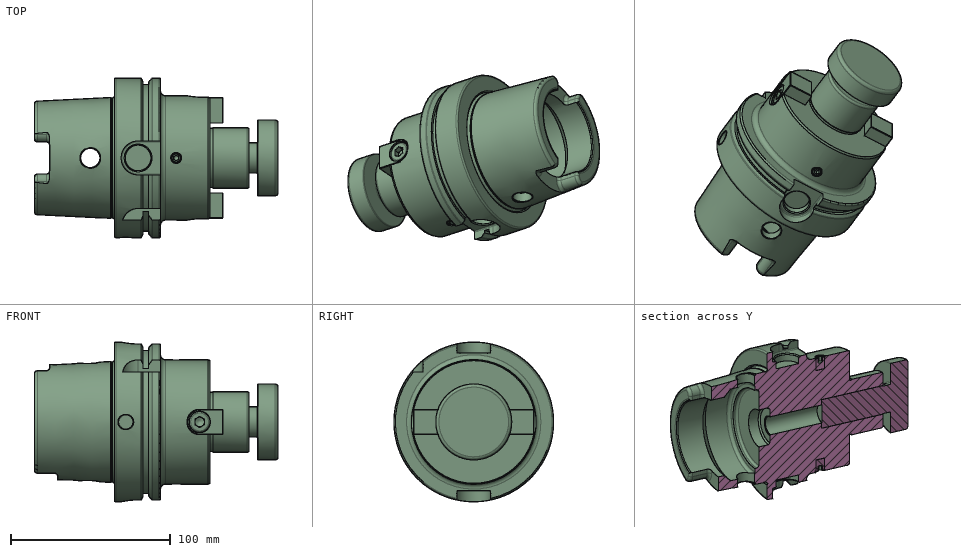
import cadquery as cq
import math

SHANK_LENGTH = 50.0
FLANGE_WIDTH = 29.0
BODY_END = 60.0
SPIGOT_END = 84.4
HEAD_START = 89.7
HEAD_END = 102.53

TAPER_DIAMETER = 75.0
TAPER_GAUGE_STATION = -10.0
TAPER_RATIO = 0.1
SHANK_END_FILLET = 2.0
RELIEF_LENGTH = 2.3
RELIEF_DEPTH = 0.35
RELIEF_STEP = 0.6
RELIEF_FACE_RADIUS = 39.65
RELIEF_FACE_INNER_RADIUS = 38.8
RELIEF_FACE_DEPTH = 0.5

BORE_DIAMETER = 53.0
BORE_MOUTH_RADIUS = 28.1
BORE_MOUTH_BREAK_RADIUS = 27.1
BORE_MOUTH_BREAK = 0.3
BORE_MOUTH_LENGTH = 1.0
CHAMBER_DIAMETER = 62.0
CHAMBER_START = -30.9
CHAMBER_FLOOR = -8.9
CHAMBER_FILLET = 2.0
BORE_FLOOR = -6.0
BORE_FLOOR_FILLET = 1.5
RECESS_DIAMETER = 24.8
RECESS_DEPTH = 8.0
RECESS_CHAMFER = 1.0
COOLANT_DIAMETER = 12.0
COOLANT_CHAMFER = 0.5

SLOT_WIDTH = 20.0
UPPER_SLOT_DEPTH = 9.5
LOWER_SLOT_DEPTH = 14.6
LUG_CORNER_RADIUS = 4.8
LUG_CORNER_START = 27.3
SLOT_FLOOR_FILLET = 2.0
CROSS_HOLE_DIAMETER = 12.0
CROSS_HOLE_MOUTH_DIAMETER = 13.0
CROSS_HOLE_MOUTH_DEPTH = 0.6
CROSS_HOLE_STATION = -15.0

FLANGE_DIAMETER = 100.0
FLANGE_FILLET = 1.0
GROOVE_DIAMETER = 92.0
GROOVE_START = 16.8
GROOVE_END = 23.7
GROOVE_FLOOR_START = 18.1
GROOVE_FLOOR_END = 21.5
GROOVE_FLANK_DEPTH = 2.4
GROOVE_FILLET = 0.6
FLANGE_HOLE_DIAMETER = 9.0
FLANGE_HOLE_CHAMFER = 0.5
FLANGE_HOLE_STATION = 7.2
FLANGE_HOLE_DEPTH = 8.0

KEYWAY_WIDTH = 20.0
KEYWAY_MARGIN = 0.6
KEYWAY_FLOOR_FILLET = 0.6
KEYWAY_CENTER = 14.9
KEYWAY_LENGTH = FLANGE_WIDTH - KEYWAY_CENTER
KEYWAY_FLOOR = 43.0
CHIP_HOLE_DIAMETER = 16.0
CHIP_HOLE_CHAMFER = 0.7
CHIP_HOLE_DEPTH = 5.0
NOTCH_WALL = 31.6
NOTCH_FLOOR = 31.4
NOTCH_CUTTER_RADIUS = 10.0

BODY_DIAMETER = 78.0
BODY_ROOT_FILLET = 3.0
BODY_END_CHAMFER = 1.3
SPIGOT_DIAMETER = 38.1
SPIGOT_FILLET = 1.4
SPIGOT_NECK_DIAMETER = 37.2
SPIGOT_NECK_LENGTH = 1.7

BOLT_DIAMETER = 19.05
BOLT_HEAD_DIAMETER = 47.6
BOLT_HEAD_FILLET = 2.0
BOLT_HEAD_BACK_FILLET = 0.4
BOLT_NECK_FILLET = 0.7
BOLT_TAIL = 40.0

KEY_WIDTH = 15.88
KEY_CHAMFER = 0.4
KEY_CENTER = 53.4
KEY_END = 68.0
KEY_OUTER = 37.8
KEY_INNER = 21.8
KEY_BORE_DIAMETER = 13.5
SCREW_HEAD_DIAMETER = 13.0
SCREW_HEAD_HEIGHT = 8.0
SCREW_HEAD_FILLET = 0.9
SCREW_HEAD_OUTER = 37.3
SCREW_DIAMETER = 8.0
SCREW_CLEARANCE_DIAMETER = 9.0
SCREW_TIP = 14.0
SCREW_HEX = 6.0
SCREW_HEX_DEPTH = 4.0

SET_STATION = 38.7
SET_DIAMETER = 6.0
SET_CHAMFER = 0.5
SET_OUTER = 38.6
SET_LENGTH = 8.0
SET_HEX = 3.0
SET_HEX_DEPTH = 3.0
SET_MOUTH_DIAMETER = 6.8

SIDES = (1, -1)
OVERCUT = 1.0


def taper_radius(station):
    return (TAPER_DIAMETER + TAPER_RATIO * (station - TAPER_GAUGE_STATION)) / 2


def revolved(profile):
    return profile.close().revolve(360, (0, 0, 0), (1, 0, 0))


def radial_cylinder(station, diameter, inner, outer):
    """Cylinder along +Z between two distances from the tool axis."""
    return cq.Workplane("XY", (station, 0, inner)).circle(diameter / 2).extrude(outer - inner)


def chamfered_drill(station, diameter, chamfer, inner, mouth):
    """Drill along +Z whose mouth, at the given distance from the axis, opens into a chamfer."""
    flare = cq.Solid.makeCone(
        diameter / 2, diameter / 2 + 2 * chamfer, 2 * chamfer, pnt=(station, 0, mouth - chamfer)
    )
    return radial_cylinder(station, diameter, inner, mouth + chamfer).union(cq.Workplane(flare))


def hex_socket(station, across_flats, depth, outer):
    """Hexagonal socket cutter along Z with a conical drill point below it."""
    corners = across_flats / math.cos(math.pi / 6)
    hexagon = (
        cq.Workplane("XY", (station, 0, outer - depth))
        .transformed(rotate=(0, 0, 90))
        .polygon(6, corners)
        .extrude(depth)
    )
    point = cq.Solid.makeCone(
        across_flats / 2, 0, across_flats / 4, pnt=(station, 0, outer - depth), dir=(0, 0, -1)
    )
    return hexagon.union(cq.Workplane(point))


def on_key_side(shape, side):
    """Turn a shape built along +Z onto the -Y side (1) or the +Y side (-1)."""
    return shape.rotate((0, 0, 0), (1, 0, 0), 90 * side)


def on_pole(shape, side):
    """Leave a shape on the +Z side (1) or turn it onto the -Z side (-1)."""
    return shape.rotate((0, 0, 0), (1, 0, 0), 90 * (1 - side))


def turned_outside():
    body_radius = BODY_DIAMETER / 2
    flange_radius = FLANGE_DIAMETER / 2
    groove_radius = GROOVE_DIAMETER / 2
    relief_radius = taper_radius(-RELIEF_LENGTH) - RELIEF_DEPTH
    end_radius = taper_radius(-SHANK_LENGTH + SHANK_END_FILLET)
    neck_radius = SPIGOT_NECK_DIAMETER / 2
    spigot_radius = SPIGOT_DIAMETER / 2
    neck_end = BODY_END + SPIGOT_NECK_LENGTH
    blank = revolved(
        cq.Workplane("XY")
        .moveTo(-SHANK_LENGTH, 0)
        .lineTo(-SHANK_LENGTH, end_radius - SHANK_END_FILLET)
        .radiusArc((-SHANK_LENGTH + SHANK_END_FILLET, end_radius), SHANK_END_FILLET)
        .lineTo(-RELIEF_LENGTH, taper_radius(-RELIEF_LENGTH))
        .lineTo(-RELIEF_LENGTH + RELIEF_STEP, relief_radius)
        .lineTo(-RELIEF_LENGTH + 2 * RELIEF_STEP, relief_radius)
        .lineTo(RELIEF_FACE_DEPTH, RELIEF_FACE_INNER_RADIUS)
        .lineTo(0, RELIEF_FACE_RADIUS)
        .lineTo(0, flange_radius - FLANGE_FILLET)
        .radiusArc((FLANGE_FILLET, flange_radius), FLANGE_FILLET)
        .lineTo(GROOVE_START, flange_radius)
        .lineTo(GROOVE_FLOOR_START, flange_radius - GROOVE_FLANK_DEPTH)
        .lineTo(GROOVE_FLOOR_START, groove_radius)
        .lineTo(GROOVE_FLOOR_END, groove_radius)
        .lineTo(GROOVE_FLOOR_END, flange_radius - GROOVE_FLANK_DEPTH)
        .lineTo(GROOVE_END, flange_radius)
        .lineTo(FLANGE_WIDTH - FLANGE_FILLET, flange_radius)
        .radiusArc((FLANGE_WIDTH, flange_radius - FLANGE_FILLET), FLANGE_FILLET)
        .lineTo(FLANGE_WIDTH, body_radius + BODY_ROOT_FILLET)
        .radiusArc((FLANGE_WIDTH + BODY_ROOT_FILLET, body_radius), -BODY_ROOT_FILLET)
        .lineTo(BODY_END - BODY_END_CHAMFER, body_radius)
        .lineTo(BODY_END, body_radius - BODY_END_CHAMFER / 2)
        .lineTo(BODY_END, neck_radius)
        .lineTo(neck_end, neck_radius)
        .lineTo(neck_end, spigot_radius)
        .lineTo(SPIGOT_END - SPIGOT_FILLET, spigot_radius)
        .radiusArc((SPIGOT_END, spigot_radius - SPIGOT_FILLET), SPIGOT_FILLET)
        .lineTo(SPIGOT_END, 0)
    )
    groove_rims = []
    for edge in blank.edges("%CIRCLE").vals():
        in_groove = GROOVE_START - 0.1 < edge.Center().x < GROOVE_END + 0.1
        if in_groove and edge.radius() > flange_radius - 0.1:
            groove_rims.append(edge)
    return blank.newObject(groove_rims).fillet(GROOVE_FILLET)


def turned_inside():
    bore_radius = BORE_DIAMETER / 2
    chamber_radius = CHAMBER_DIAMETER / 2
    recess_radius = RECESS_DIAMETER / 2
    coolant_radius = COOLANT_DIAMETER / 2
    recess_floor = BORE_FLOOR + RECESS_DEPTH
    return revolved(
        cq.Workplane("XY")
        .moveTo(-SHANK_LENGTH, 0)
        .lineTo(-SHANK_LENGTH, BORE_MOUTH_RADIUS)
        .lineTo(-SHANK_LENGTH + BORE_MOUTH_BREAK, BORE_MOUTH_BREAK_RADIUS)
        .lineTo(-SHANK_LENGTH + BORE_MOUTH_LENGTH, bore_radius)
        .lineTo(CHAMBER_START, bore_radius)
        .lineTo(CHAMBER_START + chamber_radius - bore_radius, chamber_radius)
        .lineTo(CHAMBER_FLOOR - CHAMBER_FILLET, chamber_radius)
        .radiusArc((CHAMBER_FLOOR, chamber_radius - CHAMBER_FILLET), CHAMBER_FILLET)
        .lineTo(CHAMBER_FLOOR, bore_radius)
        .lineTo(BORE_FLOOR - BORE_FLOOR_FILLET, bore_radius)
        .radiusArc((BORE_FLOOR, bore_radius - BORE_FLOOR_FILLET), BORE_FLOOR_FILLET)
        .lineTo(BORE_FLOOR, recess_radius)
        .lineTo(recess_floor - RECESS_CHAMFER, recess_radius)
        .lineTo(recess_floor, recess_radius - RECESS_CHAMFER)
        .lineTo(recess_floor, coolant_radius + COOLANT_CHAMFER)
        .lineTo(recess_floor + COOLANT_CHAMFER, coolant_radius)
        .lineTo(BOLT_TAIL, coolant_radius)
        .lineTo(BOLT_TAIL, BOLT_DIAMETER / 2)
        .lineTo(SPIGOT_END, BOLT_DIAMETER / 2)
        .lineTo(SPIGOT_END, 0)
    )


def drive_slot(depth):
    """Slot cutter for the +Z side whose walls flare outward in an arc."""
    half = SLOT_WIDTH / 2
    flare = half + LUG_CORNER_RADIUS
    shoulder = LUG_CORNER_START + LUG_CORNER_RADIUS
    side = FLANGE_DIAMETER / 4
    top = FLANGE_DIAMETER / 2
    slot = (
        cq.Workplane("YZ", (-SHANK_LENGTH, 0, 0))
        .moveTo(-half, 0)
        .lineTo(-half, LUG_CORNER_START)
        .radiusArc((-flare, shoulder), -LUG_CORNER_RADIUS)
        .lineTo(-side, shoulder)
        .lineTo(-side, top)
        .lineTo(side, top)
        .lineTo(side, shoulder)
        .lineTo(flare, shoulder)
        .radiusArc((half, LUG_CORNER_START), -LUG_CORNER_RADIUS)
        .lineTo(half, 0)
        .close()
        .extrude(depth)
    )
    walls = cq.selectors.BoxSelector((-FLANGE_DIAMETER, -side + 1, 1), (0, side - 1, top - 1))
    slot = slot.faces(">X").edges(walls).fillet(SLOT_FLOOR_FILLET)
    slab = (
        cq.Workplane("XY")
        .box(SHANK_LENGTH, FLANGE_DIAMETER, top, centered=(False, True, False))
        .translate((-2 * SHANK_LENGTH, 0, 0))
    )
    mouth_edges = cq.selectors.BoxSelector(
        (-SHANK_LENGTH - 0.1, -side + 1, 1), (-SHANK_LENGTH + 0.1, side - 1, top - 1)
    )
    return slot.union(slab).edges(mouth_edges).fillet(SHANK_END_FILLET)


def keyway():
    half = KEYWAY_WIDTH / 2 + KEYWAY_MARGIN
    outer = FLANGE_DIAMETER / 2 + OVERCUT
    hole_floor = KEYWAY_FLOOR - CHIP_HOLE_DEPTH
    way = (
        cq.Workplane("XY", (KEYWAY_CENTER, 0, KEYWAY_FLOOR))
        .moveTo(0, half)
        .lineTo(KEYWAY_LENGTH, half)
        .lineTo(KEYWAY_LENGTH, -half)
        .lineTo(0, -half)
        .radiusArc((0, half), half)
        .close()
        .extrude(outer - KEYWAY_FLOOR)
    )
    floor_rim = way.faces("<Z").edges("not >X")
    way = floor_rim.fillet(KEYWAY_FLOOR_FILLET)
    hole = chamfered_drill(
        KEYWAY_CENTER, CHIP_HOLE_DIAMETER, CHIP_HOLE_CHAMFER, hole_floor, KEYWAY_FLOOR
    )
    return way.union(hole)


def orientation_notch():
    """Corner notch on the -Y, +Z side, left by an upright milling cutter."""
    outer = FLANGE_DIAMETER / 2
    height = outer - NOTCH_FLOOR
    start = (KEYWAY_CENTER, -NOTCH_WALL, NOTCH_FLOOR)
    radius = NOTCH_CUTTER_RADIUS
    return (
        cq.Workplane("XY", start)
        .moveTo(KEYWAY_LENGTH, 0)
        .lineTo(0, 0)
        .radiusArc((-radius, -radius), -radius)
        .lineTo(-radius, -outer)
        .lineTo(KEYWAY_LENGTH, -outer)
        .close()
        .extrude(height)
    )


def key_blank(outer):
    """Key envelope along +Z: a rounded inner end and a square outer end."""
    half = KEY_WIDTH / 2
    return (
        cq.Workplane("XY", (KEY_CENTER, 0, KEY_INNER))
        .moveTo(0, half)
        .lineTo(KEY_END - KEY_CENTER, half)
        .lineTo(KEY_END - KEY_CENTER, -half)
        .lineTo(0, -half)
        .radiusArc((0, half), half)
        .close()
        .extrude(outer - KEY_INNER)
    )


def key_pocket():
    open_top = key_blank(BODY_DIAMETER / 2 + OVERCUT)
    return open_top.union(radial_cylinder(KEY_CENTER, SCREW_DIAMETER, SCREW_TIP, KEY_INNER))


def drive_key():
    head_seat = SCREW_HEAD_OUTER - SCREW_HEAD_HEIGHT
    return (
        key_blank(KEY_OUTER)
        .faces(">X or >Z")
        .edges()
        .chamfer(KEY_CHAMFER)
        .cut(radial_cylinder(KEY_CENTER, SCREW_CLEARANCE_DIAMETER, KEY_INNER, KEY_OUTER))
        .cut(radial_cylinder(KEY_CENTER, KEY_BORE_DIAMETER, head_seat, KEY_OUTER))
    )


def key_screw():
    head_seat = SCREW_HEAD_OUTER - SCREW_HEAD_HEIGHT
    head = radial_cylinder(KEY_CENTER, SCREW_HEAD_DIAMETER, head_seat, SCREW_HEAD_OUTER)
    shank = radial_cylinder(KEY_CENTER, SCREW_DIAMETER, SCREW_TIP, head_seat)
    return (
        head.faces(">Z")
        .edges()
        .fillet(SCREW_HEAD_FILLET)
        .union(shank)
        .cut(hex_socket(KEY_CENTER, SCREW_HEX, SCREW_HEX_DEPTH, SCREW_HEAD_OUTER))
    )


def set_screw_hole():
    inner = SET_OUTER - SET_LENGTH
    outer = BODY_DIAMETER / 2 + OVERCUT
    mouth = radial_cylinder(SET_STATION, SET_MOUTH_DIAMETER, SET_OUTER - SET_CHAMFER, outer)
    return radial_cylinder(SET_STATION, SET_DIAMETER, inner, outer).union(mouth)


def set_screw():
    screw = radial_cylinder(SET_STATION, SET_DIAMETER, SET_OUTER - SET_LENGTH, SET_OUTER)
    return (
        screw.faces(">Z")
        .edges()
        .chamfer(SET_CHAMFER)
        .cut(hex_socket(SET_STATION, SET_HEX, SET_HEX_DEPTH, SET_OUTER))
    )


def retaining_bolt():
    shank_radius = BOLT_DIAMETER / 2
    head_radius = BOLT_HEAD_DIAMETER / 2
    return revolved(
        cq.Workplane("XY")
        .moveTo(BOLT_TAIL, 0)
        .lineTo(BOLT_TAIL, shank_radius)
        .lineTo(HEAD_START - BOLT_NECK_FILLET, shank_radius)
        .radiusArc((HEAD_START, shank_radius + BOLT_NECK_FILLET), -BOLT_NECK_FILLET)
        .lineTo(HEAD_START, head_radius - BOLT_HEAD_BACK_FILLET)
        .radiusArc((HEAD_START + BOLT_HEAD_BACK_FILLET, head_radius), BOLT_HEAD_BACK_FILLET)
        .lineTo(HEAD_END - BOLT_HEAD_FILLET, head_radius)
        .radiusArc((HEAD_END, head_radius - BOLT_HEAD_FILLET), BOLT_HEAD_FILLET)
        .lineTo(HEAD_END, 0)
    )


def make_housing():
    body = turned_outside().cut(turned_inside())
    body = body.cut(drive_slot(UPPER_SLOT_DEPTH))
    body = body.cut(on_pole(drive_slot(LOWER_SLOT_DEPTH), -1))
    reach = BODY_DIAMETER / 2 + OVERCUT
    mouth_floor = taper_radius(CROSS_HOLE_STATION) - CROSS_HOLE_MOUTH_DEPTH
    cross_mouth = radial_cylinder(CROSS_HOLE_STATION, CROSS_HOLE_MOUTH_DIAMETER, mouth_floor, reach)
    body = body.cut(radial_cylinder(CROSS_HOLE_STATION, CROSS_HOLE_DIAMETER, -reach, reach))
    flange_radius = FLANGE_DIAMETER / 2
    flange_hole = chamfered_drill(
        FLANGE_HOLE_STATION,
        FLANGE_HOLE_DIAMETER,
        FLANGE_HOLE_CHAMFER,
        flange_radius - FLANGE_HOLE_DEPTH,
        flange_radius,
    )
    body = body.cut(on_key_side(flange_hole, 1)).cut(orientation_notch())
    for side in SIDES:
        body = body.cut(on_pole(cross_mouth, side))
        body = body.cut(on_pole(keyway(), side))
        body = body.cut(on_pole(set_screw_hole(), side))
        body = body.cut(on_key_side(key_pocket(), side))
    return body


housing = make_housing()
bolt = retaining_bolt()
keys = [on_key_side(drive_key(), side) for side in SIDES]
key_screws = [on_key_side(key_screw(), side) for side in SIDES]
set_screws = [on_pole(set_screw(), side) for side in SIDES]

result = cq.Compound.makeCompound(
    [
        housing.val(),
        bolt.val(),
        *[key.val() for key in keys],
        *[screw.val() for screw in key_screws],
        *[screw.val() for screw in set_screws],
    ]
)